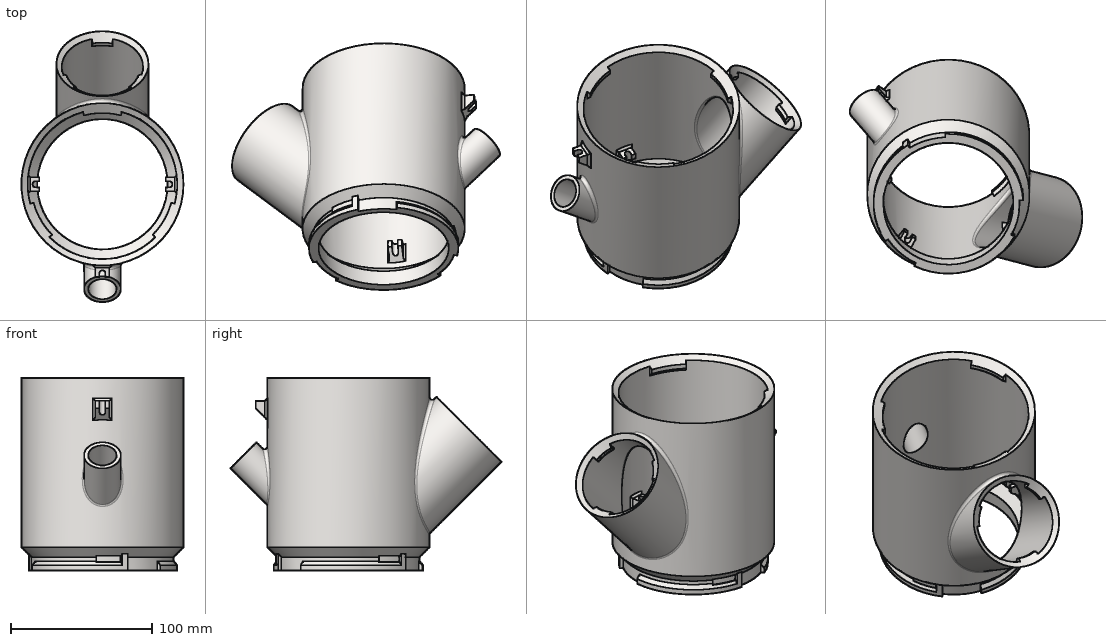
import cadquery as cq
import math

body_height = 136.5
body_outer_radius = 115.0 / 2
body_bore_radius = 53.0
neck_outer_radius = 50.5
neck_bore_radius = 46.0
shoulder_top = 16.5
shoulder_bottom = shoulder_top - (body_outer_radius - neck_outer_radius)
bore_shoulder_bottom = 11.5
bore_shoulder_top = bore_shoulder_bottom + (body_bore_radius - neck_bore_radius)

branch_lean = 45
overall_depth = 192.0
inlet_reach = 108.5
inlet_outer_radius = 32.6
inlet_bore_radius = 28.8
inlet_axis_height = 14.5
inlet_start = 42.2
spout_reach = overall_depth - inlet_reach
spout_outer_radius = 13.0
spout_bore_radius = 10.0
spout_axis_height = 7.3
spout_start = 53.8
branch_fillet = 2.0
mouth_fillet = 2.0

bayonet_count = 3
bayonet_pitch = 360 / bayonet_count
lead_in_depth = 3.0
tab_center_angle = 90
tab_sweep = 30
tab_height = 2.5
tab_bottom_depth = 8.0
tab_bevel = 2.5

lug_outer_radius = 53.0
lug_start_angle = 200.5
lug_sweep = 87.0
lug_edge_height = 3.8
lug_top = 6.7
stop_start = 84.7
stop_sweep = 4.7
stop_top = 11.9
bump_start = 64.5
bump_sweep = 19.5
bump_radius = 51.5
bump_bottom = 6.3

clip_width = 10.0
clip_depth = 8.3
clip_tip_height = 5.2
clip_flare = 1.7
clip_slot_radius = 2.1
clip_slot_depth = 4.8
clip_root = 2.0
outer_clip_top = body_height - 16.3
inner_clip_top = 36.5


def ring_segment(profile, start_angle=0, sweep=360):
    """Revolve a (radius, height) profile about Z, anticlockwise from start_angle."""
    ring = cq.Workplane("XZ").polyline(profile).close().revolve(sweep, (0, 0), (0, 1))
    return ring.rotate((0, 0, 0), (0, 0, 1), start_angle)


def cylinder(radius, bottom, top):
    return cq.Workplane("XY").workplane(offset=bottom).circle(radius).extrude(top - bottom)


def socket_tabs(outer_radius, bore_radius, top):
    """Bayonet tabs with a bevelled underside, standing inside the mouth of a tube."""
    tab_radius = bore_radius - tab_height
    tab_root = (bore_radius + outer_radius) / 2
    tab_bottom = top - tab_bottom_depth
    tab_profile = [
        (tab_radius, top),
        (tab_radius, tab_bottom),
        (bore_radius, tab_bottom - tab_bevel),
        (tab_root, tab_bottom - tab_bevel),
        (tab_root, top),
    ]
    tabs = cq.Workplane("XY")
    for i in range(bayonet_count):
        start_angle = tab_center_angle - tab_sweep / 2 + i * bayonet_pitch
        tabs = tabs.add(ring_segment(tab_profile, start_angle, tab_sweep))
    return tabs.combine()


def lead_in_cone(outer_radius, bore_radius, top):
    """Cone that tapers the mouth of a tube from its outer edge down to its bore."""
    cone_height = lead_in_depth * outer_radius / (outer_radius - bore_radius)
    return ring_segment([(0, top), (outer_radius, top), (0, top - cone_height)])


def place_branch(shape, lean, axis_height):
    """Tip a shape built along Z towards +Y (positive lean) or -Y (negative lean)."""
    return shape.rotate((0, 0, 0), (1, 0, 0), -lean).translate((0, 0, axis_height))


def branch_length(reach, radius):
    """Axial length that puts the outermost edge of a leaning tube at the given reach."""
    lean = math.radians(branch_lean)
    return (reach - radius * math.cos(lean)) / math.sin(lean)


def hook_clip(top, wall_distance):
    """Slotted hook with a sloped underside and a flared root, pointing along +X."""
    tip = wall_distance + clip_depth
    root = wall_distance - clip_root
    tip_bottom = top - clip_tip_height
    clip = (
        cq.Workplane("XZ")
        .polyline([
            (root, top),
            (tip, top),
            (tip, tip_bottom),
            (root, tip_bottom - (tip - root)),
        ])
        .close()
        .extrude(clip_width / 2, both=True)
    )
    flare_half = clip_width / 2 + clip_flare
    flare = (
        cq.Workplane("XY")
        .polyline([
            (root, -flare_half),
            (wall_distance, -flare_half),
            (wall_distance + clip_flare, -clip_width / 2),
            (wall_distance + clip_flare, clip_width / 2),
            (wall_distance, flare_half),
            (root, flare_half),
        ])
        .close()
        .extrude(body_height)
    )
    flare_side = (
        cq.Workplane("XZ")
        .polyline([
            (root, top + clip_flare),
            (wall_distance, top + clip_flare),
            (wall_distance + clip_flare, top),
            (tip, top),
            (tip, tip_bottom),
            (root, tip_bottom - (tip - root)),
        ])
        .close()
        .extrude(flare_half, both=True)
    )
    slot_center = tip - clip_slot_depth + clip_slot_radius
    slot_end = tip + clip_slot_radius
    slot = (
        cylinder(clip_slot_radius, 0, body_height)
        .translate((slot_center, 0, 0))
        .union(
            cq.Workplane("XY")
            .box(slot_end - slot_center, 2 * clip_slot_radius, body_height, centered=(False, True, False))
            .translate((slot_center, 0, 0))
        )
    )
    return clip.union(flare.intersect(flare_side)).cut(slot)


body = ring_segment([
    (0, 0),
    (neck_outer_radius, 0),
    (neck_outer_radius, shoulder_bottom),
    (body_outer_radius, shoulder_top),
    (body_outer_radius, body_height),
    (0, body_height),
])
inlet_length = branch_length(inlet_reach, inlet_outer_radius)
spout_length = branch_length(spout_reach, spout_outer_radius)
inlet = cylinder(inlet_outer_radius, inlet_start, inlet_length)
spout = cylinder(spout_outer_radius, spout_start, spout_length)
body = body.union(place_branch(inlet, branch_lean, inlet_axis_height))
body = body.union(place_branch(spout, -branch_lean, spout_axis_height))
branch_roots = body.edges("not(%CIRCLE or %LINE)")
body = branch_roots.fillet(branch_fillet)

neck_bore = ring_segment([
    (0, 0),
    (neck_bore_radius, 0),
    (neck_bore_radius, bore_shoulder_bottom),
    (body_bore_radius, bore_shoulder_top),
    (0, bore_shoulder_top),
])
body_bore = cylinder(body_bore_radius, bore_shoulder_top, body_height)
inlet_bore = cylinder(inlet_bore_radius, inlet_start, inlet_length)
spout_bore = cylinder(spout_bore_radius, spout_start, spout_length)
chamber = (
    neck_bore
    .union(body_bore)
    .union(place_branch(inlet_bore, branch_lean, inlet_axis_height))
)
chamber = chamber.edges("not(%CIRCLE or %LINE)").fillet(mouth_fillet)
body = body.cut(chamber)
body = body.cut(place_branch(spout_bore, -branch_lean, spout_axis_height))

body = body.union(socket_tabs(body_outer_radius, body_bore_radius, body_height))
body = body.cut(lead_in_cone(body_outer_radius, body_bore_radius, body_height))
inlet_tabs = socket_tabs(inlet_outer_radius, inlet_bore_radius, inlet_length)
inlet_cone = lead_in_cone(inlet_outer_radius, inlet_bore_radius, inlet_length)
body = body.union(place_branch(inlet_tabs, branch_lean, inlet_axis_height))
body = body.cut(place_branch(inlet_cone, branch_lean, inlet_axis_height))

lug_root = (neck_outer_radius + neck_bore_radius) / 2
lug_profile = [
    (lug_root, 0),
    (lug_outer_radius, 0),
    (lug_outer_radius, lug_edge_height),
    (neck_outer_radius, lug_top),
    (lug_root, lug_top),
]
stop_profile = [
    (lug_root, 0),
    (lug_outer_radius, 0),
    (lug_outer_radius, stop_top),
    (lug_root, stop_top),
]
bump_top = shoulder_bottom + (bump_radius - neck_outer_radius)
bump_profile = [
    (lug_root, lug_edge_height),
    (neck_outer_radius, lug_edge_height),
    (bump_radius, bump_bottom),
    (bump_radius, bump_top),
    (lug_root, bump_top),
]
for i in range(bayonet_count):
    lug_angle = lug_start_angle + i * bayonet_pitch
    body = body.union(ring_segment(lug_profile, lug_angle, lug_sweep))
    body = body.union(ring_segment(stop_profile, lug_angle + stop_start, stop_sweep))
    body = body.union(ring_segment(bump_profile, lug_angle + bump_start, bump_sweep))

outer_clip = hook_clip(outer_clip_top, body_outer_radius).rotate((0, 0, 0), (0, 0, 1), -90)
body = body.union(outer_clip)
for side_angle in (0, 180):
    inner_clip = hook_clip(inner_clip_top, -body_bore_radius).rotate((0, 0, 0), (0, 0, 1), side_angle)
    body = body.union(inner_clip)

result = body